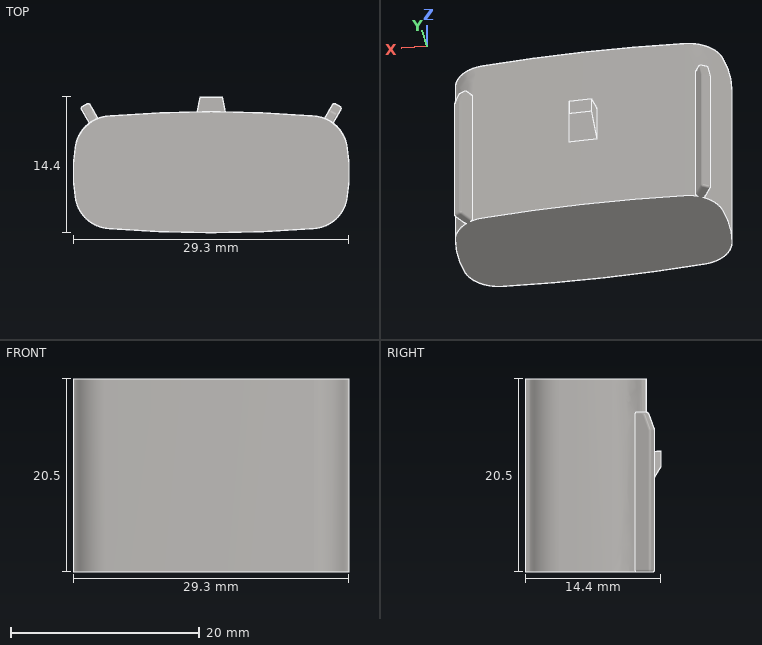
import cadquery as cq
import math

BODY_WIDTH = 29.3
BODY_DEPTH = 12.84
BODY_HEIGHT = 20.5
LONG_SIDE_RADIUS = 135.0
SHORT_SIDE_RADIUS = 16.0
CORNER_RADIUS = 3.85

RIB_THICKNESS = 1.05
RIB_HEIGHT = 17.0
RIB_ANGLE = 30.0
RIB_TIP_X = 13.42
RIB_TIP_Y = 7.12
RIB_LENGTH = 3.0
RIB_LEAD_DEPTH = 0.8
RIB_LEAD_HEIGHT = 1.9
RIB_LEAD_RADIUS = 0.5
RIB_EDGE_RADIUS = 0.25

LATCH_REACH = 1.55
LATCH_TIP_WIDTH = 2.4
LATCH_ROOT_WIDTH = 3.0
LATCH_TOP_Z = 12.85
LATCH_TOP_ANGLE = 4.0
LATCH_FLAT_HEIGHT = 1.65
LATCH_RAMP_ANGLE = 31.0
LATCH_EMBED = 0.5


def make_body():
    """Extrude the convex outline and round its four upright corners."""
    half_width = BODY_WIDTH / 2
    half_depth = BODY_DEPTH / 2
    back_center_y = half_depth - LONG_SIDE_RADIUS
    right_center_x = half_width - SHORT_SIDE_RADIUS
    outline = cq.Workplane("XY").rect(BODY_WIDTH, BODY_DEPTH).extrude(BODY_HEIGHT)
    for side in (-1, 1):
        long_side = cq.Workplane("XY").center(0, side * back_center_y).circle(LONG_SIDE_RADIUS)
        short_side = cq.Workplane("XY").center(side * right_center_x, 0).circle(SHORT_SIDE_RADIUS)
        outline = outline.intersect(long_side.extrude(BODY_HEIGHT))
        outline = outline.intersect(short_side.extrude(BODY_HEIGHT))
    return outline.edges("|Z").fillet(CORNER_RADIUS)


def make_rib():
    """Build the rib on the +X side: a fin with a sloped upper corner and rounded edges."""
    profile = [
        (-RIB_LENGTH, 0),
        (0, 0),
        (0, RIB_HEIGHT - RIB_LEAD_HEIGHT),
        (-RIB_LEAD_DEPTH, RIB_HEIGHT),
        (-RIB_LENGTH, RIB_HEIGHT),
    ]
    rib = cq.Workplane("YZ").polyline(profile).close().extrude(RIB_THICKNESS / 2, both=True)
    lead_corners = rib.edges("|X and (not <Z) and (not <Y)")
    rib = lead_corners.fillet(RIB_LEAD_RADIUS)
    rib = rib.edges("(not |X) or (|X and <Z)").fillet(RIB_EDGE_RADIUS)
    return rib.rotate((0, 0, 0), (0, 0, 1), -RIB_ANGLE).translate((RIB_TIP_X, RIB_TIP_Y, 0))


def make_latch():
    """Build the latch: side profile with a ramped underside, cut to a tapering plan shape."""
    back_y = BODY_DEPTH / 2
    root_y = back_y - LATCH_EMBED
    tip_y = back_y + LATCH_REACH
    flat_bottom_z = LATCH_TOP_Z - LATCH_FLAT_HEIGHT
    ramp_drop = (tip_y - root_y) / math.tan(math.radians(LATCH_RAMP_ANGLE))
    top_rise = (tip_y - root_y) * math.tan(math.radians(LATCH_TOP_ANGLE))
    side_profile = [
        (root_y, LATCH_TOP_Z - top_rise),
        (tip_y, LATCH_TOP_Z),
        (tip_y, flat_bottom_z),
        (root_y, flat_bottom_z - ramp_drop),
    ]
    taper = (LATCH_ROOT_WIDTH - LATCH_TIP_WIDTH) / LATCH_REACH
    embedded_width = LATCH_ROOT_WIDTH + taper * LATCH_EMBED
    plan = [
        (-embedded_width / 2, root_y),
        (embedded_width / 2, root_y),
        (LATCH_TIP_WIDTH / 2, tip_y),
        (-LATCH_TIP_WIDTH / 2, tip_y),
    ]
    side_prism = cq.Workplane("YZ").polyline(side_profile).close().extrude(embedded_width, both=True)
    plan_prism = cq.Workplane("XY").polyline(plan).close().extrude(BODY_HEIGHT)
    return side_prism.intersect(plan_prism)


rib = make_rib()
result = make_body().union(rib).union(rib.mirror("YZ")).union(make_latch())